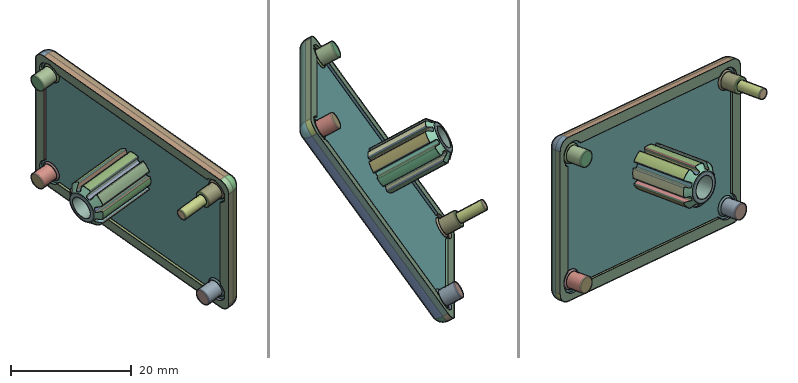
import cadquery as cq
import math

LENGTH = 45.0
HEIGHT = 30.0
PLATE_THICKNESS = 3.0
CORNER_RADIUS = 2.0
BACK_FILLET = CORNER_RADIUS - 0.005

X_RIM_WIDTH = 2.0
Z_RIM_WIDTH = 2.05
RECESS_DEPTH = 0.5
PEG_RELIEF_DIAMETER = 4.6

PEG_X_INSET = 3.25
PEG_Z_INSET = 3.45
PEG_DIAMETER = 3.0
PEG_LENGTH = 2.92
PEG_BASE_FILLET = 0.3
PIN_DIAMETER = 2.0
PIN_LENGTH = 7.9
TIP_FILLET = 0.15

STUD_X = 0.0
STUD_Z = 2.45
STUD_LENGTH = 11.95
BORE_DIAMETER = 4.15
COLLAR_RADIUS = 2.85
COLLAR_FILLET = 0.15
SHORT_TOOTH_RADIUS = 3.85
LONG_TOOTH_RADIUS = 4.15
TOOTH_FILLET = 0.2
TOOTH_COUNT = 8
GROOVE_FLOOR_RADIUS = 3.0
GROOVE_WIDTH = 0.95

RECESS_LENGTH = LENGTH - 2 * X_RIM_WIDTH
RECESS_HEIGHT = HEIGHT - 2 * Z_RIM_WIDTH
PEG_X = LENGTH / 2 - PEG_X_INSET
PEG_Z = HEIGHT / 2 - PEG_Z_INSET
TOOTH_PITCH = 360 / TOOTH_COUNT
LONG_TOOTH_COUNT = TOOTH_COUNT // 2
GROOVE_DEPTH = LONG_TOOTH_RADIUS - GROOVE_FLOOR_RADIUS
LONG_TOOTH_STRIP = 2 * SHORT_TOOTH_RADIUS * math.sin(math.radians(TOOTH_PITCH / 2))
PEG_CENTERS = [(x, z) for x in (-PEG_X, PEG_X) for z in (-PEG_Z, PEG_Z)]
PIN_CENTER = (PEG_X, PEG_Z)


def front_plane(depth=0.0):
    """XZ sketch plane facing -Y, set back from the rim face by depth."""
    return cq.Workplane("XZ", origin=(0, depth, 0))


def make_plate():
    """Plate with rounded corners and a rounded back edge."""
    plate = front_plane(PLATE_THICKNESS).rect(LENGTH, HEIGHT).extrude(PLATE_THICKNESS)
    plate = plate.edges("|Y").fillet(CORNER_RADIUS)
    return plate.faces(">Y").edges().fillet(BACK_FILLET)


def make_recess():
    """Recess volume: a rectangle joined to a round relief at each peg."""
    floor = front_plane(RECESS_DEPTH)
    pocket = floor.rect(RECESS_LENGTH, RECESS_HEIGHT).extrude(RECESS_DEPTH)
    reliefs = floor.pushPoints(PEG_CENTERS).circle(PEG_RELIEF_DIAMETER / 2).extrude(RECESS_DEPTH)
    return pocket.union(reliefs)


def make_post(center, diameter, length):
    """Round post from the recess floor to a rounded tip, length beyond the rim face."""
    post = front_plane(RECESS_DEPTH).center(*center).circle(diameter / 2).extrude(RECESS_DEPTH + length)
    return post.faces("<Y").edges().fillet(TIP_FILLET)


def make_peg_flare(center):
    """Concave ring that blends a peg into the recess floor."""
    inner = PEG_DIAMETER / 2
    outer = inner + PEG_BASE_FILLET
    top = RECESS_DEPTH - PEG_BASE_FILLET
    return (
        cq.Workplane("XY")
        .moveTo(0, RECESS_DEPTH)
        .lineTo(outer, RECESS_DEPTH)
        .radiusArc((inner, top), PEG_BASE_FILLET)
        .lineTo(0, top)
        .close()
        .revolve(360, (0, 0), (0, 1))
        .translate((center[0], 0, center[1]))
    )


def make_toothed_bar(length):
    """Cylinder cut to alternating short and long teeth by parallel-sided grooves."""
    base = front_plane(RECESS_DEPTH).center(STUD_X, STUD_Z)
    bar = base.circle(SHORT_TOOTH_RADIUS).extrude(length)
    long_bar = base.circle(LONG_TOOTH_RADIUS).extrude(length)
    for i in range(LONG_TOOTH_COUNT // 2):
        strip = (
            base.transformed(rotate=(0, 0, (2 * i + 1) * TOOTH_PITCH))
            .rect(2 * LONG_TOOTH_RADIUS, LONG_TOOTH_STRIP)
            .extrude(length)
        )
        bar = bar.union(long_bar.intersect(strip))
    for i in range(TOOTH_COUNT):
        groove = (
            base.transformed(rotate=(0, 0, (i + 0.5) * TOOTH_PITCH))
            .center(GROOVE_FLOOR_RADIUS + GROOVE_DEPTH / 2, 0)
            .rect(GROOVE_DEPTH, GROOVE_WIDTH)
            .extrude(length)
        )
        bar = bar.cut(groove)
    return bar.edges("|Y").fillet(TOOTH_FILLET)


def make_stud():
    """Splined stud with a bore down to the recess floor and a tapered tip."""
    length = RECESS_DEPTH + STUD_LENGTH
    bar = make_toothed_bar(length)
    collar_start = COLLAR_FILLET - STUD_LENGTH
    cone_start = collar_start + LONG_TOOTH_RADIUS - COLLAR_RADIUS
    envelope = (
        cq.Workplane("XY")
        .moveTo(BORE_DIAMETER / 2, RECESS_DEPTH)
        .lineTo(LONG_TOOTH_RADIUS, RECESS_DEPTH)
        .lineTo(LONG_TOOTH_RADIUS, cone_start)
        .lineTo(COLLAR_RADIUS, collar_start)
        .radiusArc((COLLAR_RADIUS - COLLAR_FILLET, -STUD_LENGTH), COLLAR_FILLET)
        .lineTo(BORE_DIAMETER / 2, -STUD_LENGTH)
        .close()
        .revolve(360, (0, 0), (0, 1))
        .translate((STUD_X, 0, STUD_Z))
    )
    return bar.intersect(envelope)


result = make_plate().cut(make_recess())
for peg_center in PEG_CENTERS:
    result = result.union(make_post(peg_center, PEG_DIAMETER, PEG_LENGTH))
    result = result.union(make_peg_flare(peg_center))
result = result.union(make_post(PIN_CENTER, PIN_DIAMETER, PIN_LENGTH))
result = result.union(make_stud())